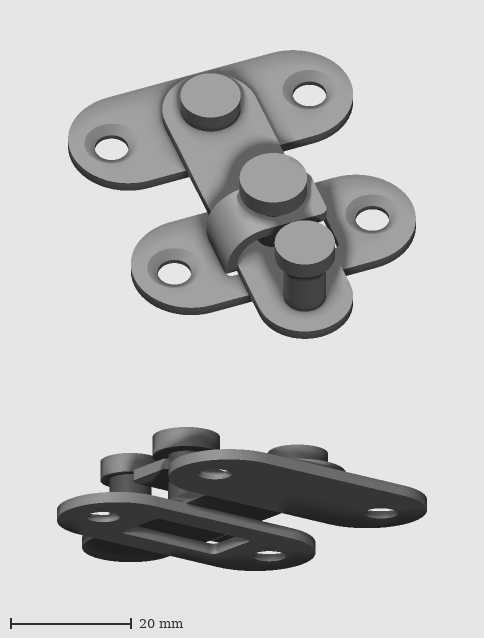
import cadquery as cq

sheet = 1.8

plate_width = 20.0
plate_length = 49.1
plate_spacing = 30.0
screw_offset = 17.5
screw_hole_diameter = 5.6
countersink_diameter = 9.0
countersink_angle = 120.0

bar_width = 16.0
bar_overhang = 8.0
bar_bottom = sheet
bar_top = bar_bottom + sheet
handle_x = 45.0
bar_start = -bar_overhang
bar_end = handle_x + bar_overhang
bar_length = bar_end - bar_start
bar_center_x = (bar_start + bar_end) / 2

handle_neck_diameter = 7.0
handle_head_diameter = 10.0
handle_head_bottom = 13.5
handle_top = 16.7

pivot_diameter = 10.0
pivot_top = 7.0

catch_width = 10.0
catch_top = 11.0
catch_outer_radius = 6.8
catch_inner_radius = catch_outer_radius - sheet
catch_clearance = 0.2
catch_back = -(bar_width / 2 + catch_clearance + sheet)
catch_tip = bar_width / 2
catch_corner_radius = 1.5
bend_y = catch_back + catch_outer_radius
bend_z = catch_top - catch_outer_radius
catch_seat = 0.1
window_start = catch_back + catch_seat
window_end = -catch_back
window_corner_radius = 1.0

pin_diameter = 6.0
pin_knob_diameter = 11.2
pin_knob_bottom = 14.0
pin_top = 17.3


def cylinder(x, diameter, bottom, top):
    """Upright cylinder on the bar's centre line."""
    return cq.Workplane("XY", origin=(x, 0, bottom)).circle(diameter / 2).extrude(top - bottom)


def make_plate(x):
    """Round-ended plate with a countersunk screw hole near each end."""
    return (
        cq.Workplane("XY", origin=(x, 0, 0))
        .slot2D(plate_length, plate_width, 90)
        .extrude(sheet)
        .faces(">Z")
        .workplane(origin=(x, 0, sheet))
        .pushPoints([(0, -screw_offset), (0, screw_offset)])
        .cskHole(screw_hole_diameter, countersink_diameter, countersink_angle)
    )


def make_catch():
    """Strip that rises behind the bar and bends over it, with rounded corners."""
    strip = (
        cq.Workplane("YZ", origin=(plate_spacing - catch_width / 2, 0, 0))
        .moveTo(catch_back, sheet)
        .lineTo(catch_back, bend_z)
        .radiusArc((bend_y, catch_top), catch_outer_radius)
        .lineTo(catch_tip, catch_top)
        .lineTo(catch_tip, catch_top - sheet)
        .lineTo(bend_y, catch_top - sheet)
        .radiusArc((catch_back + sheet, bend_z), -catch_inner_radius)
        .lineTo(catch_back + sheet, sheet)
        .close()
        .extrude(catch_width)
    )
    strip = strip.faces(">Y").edges("|Z").fillet(catch_corner_radius)
    strip = strip.faces("<Z").edges("|Y").fillet(catch_corner_radius)
    pin_hole = cylinder(plate_spacing, pin_diameter, bar_top, pin_top)
    return strip.cut(pin_hole)


def make_catch_plate():
    """Plate with a window through it and the catch seated on the rim of the window."""
    window = (
        cq.Workplane("XY", origin=(plate_spacing, (window_start + window_end) / 2, 0))
        .rect(catch_width, window_end - window_start)
        .extrude(sheet)
        .edges("|Z")
        .fillet(window_corner_radius)
    )
    return make_plate(plate_spacing).cut(window).union(make_catch())


def make_swing_bar():
    """Round-ended bar with the pivot head at one end and the handle at the other."""
    bar = (
        cq.Workplane("XY", origin=(bar_center_x, 0, bar_bottom))
        .slot2D(bar_length, bar_width)
        .extrude(sheet)
    )
    pivot = cylinder(0, pivot_diameter, bar_top, pivot_top)
    neck = cylinder(handle_x, handle_neck_diameter, bar_top, handle_head_bottom)
    head = cylinder(handle_x, handle_head_diameter, handle_head_bottom, handle_top)
    return bar.union(pivot).union(neck).union(head)


def make_locking_pin():
    """Straight pin with a wide knob on top."""
    shank = cylinder(plate_spacing, pin_diameter, bar_top, pin_knob_bottom)
    knob = cylinder(plate_spacing, pin_knob_diameter, pin_knob_bottom, pin_top)
    return shank.union(knob)


hinge_plate = make_plate(0)
catch_plate = make_catch_plate()
swing_bar = make_swing_bar()
locking_pin = make_locking_pin()

result = cq.Compound.makeCompound(
    [hinge_plate.val(), catch_plate.val(), swing_bar.val(), locking_pin.val()]
)